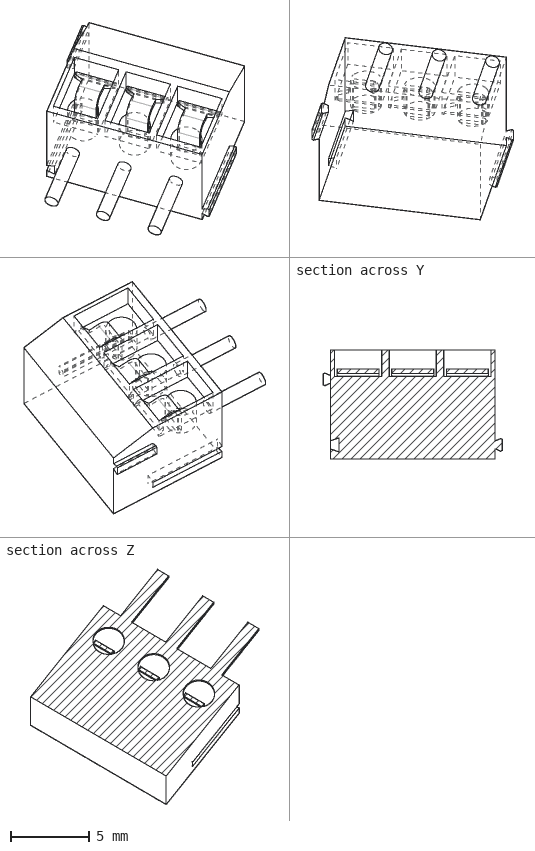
import cadquery as cq
import math

body_width = 10.55
body_depth = 8.3
body_height = 7.0
slope_run = 3.0
slope_drop = 1.02
ridge_y = body_depth - slope_run

terminal_pitch = 3.5
terminal_count = 3
pin_diameter = 0.9
pin_length = 4.2
pin_z = 3.4

pocket_width = 3.0
pocket_front_y = 0.51
pocket_back_y = 4.64
pocket_floor_z = 5.3
screw_hole_diameter = 2.0
screw_hole_y = 2.0
screw_hole_bottom_z = pin_z

clip_wide_width = 2.7
clip_narrow_width = 1.48
clip_wide_end_y = 4.25
clip_narrow_start_y = 3.98
clip_tilt = math.radians(10)
clip_thickness = 0.3
clip_back_radius = 0.42
clip_bend_radius = 0.76
clip_bend_z = 5.21
clip_tip_y = 2.41

rail_projection = 0.48
rail_root_height = 0.51
rail_widest_height = 0.82
rail_edge_height = 0.7
rail_bevel = 0.11
lower_rail_z = 0.91
upper_rail_z = 5.11
groove_depth = 0.54
groove_mouth_height = 0.51
groove_floor_height = 0.88


def make_housing():
    return (
        cq.Workplane("YZ")
        .moveTo(0, 0)
        .lineTo(body_depth, 0)
        .lineTo(body_depth, body_height - slope_drop)
        .lineTo(ridge_y, body_height)
        .lineTo(0, body_height)
        .close()
        .extrude(body_width / 2, both=True)
    )


def extrude_along_y(outline, start_y, end_y):
    """Extrude a closed XZ outline between two Y positions."""
    plane = cq.Workplane("XZ", origin=(0, end_y, 0))
    return plane.polyline(outline).close().extrude(end_y - start_y)


def make_rail(side, center_z, start_y, end_y):
    """Dovetail rail on the wall at +X (side = 1) or -X (side = -1)."""
    wall_x = side * body_width / 2
    widest_x = wall_x + side * (rail_projection - rail_bevel)
    edge_x = wall_x + side * rail_projection
    outline = [
        (wall_x, center_z - rail_root_height / 2),
        (widest_x, center_z - rail_widest_height / 2),
        (edge_x, center_z - rail_edge_height / 2),
        (edge_x, center_z + rail_edge_height / 2),
        (widest_x, center_z + rail_widest_height / 2),
        (wall_x, center_z + rail_root_height / 2),
    ]
    return extrude_along_y(outline, start_y, end_y)


def make_groove():
    """Dovetail groove in the -X wall, open at the pin face."""
    mouth_x = -body_width / 2
    floor_x = mouth_x + groove_depth
    outline = [
        (mouth_x, lower_rail_z - groove_mouth_height / 2),
        (floor_x, lower_rail_z - groove_floor_height / 2),
        (floor_x, lower_rail_z + groove_floor_height / 2),
        (mouth_x, lower_rail_z + groove_mouth_height / 2),
    ]
    return extrude_along_y(outline, 0, ridge_y)


def make_pocket(x):
    """Rectangular pocket with a round screw hole in its floor."""
    pocket = cq.Workplane("XY").box(
        pocket_width,
        pocket_back_y - pocket_front_y,
        body_height - pocket_floor_z,
        centered=(True, False, False),
    ).translate((x, pocket_front_y, pocket_floor_z))
    screw_hole = (
        cq.Workplane("XY", origin=(x, screw_hole_y, screw_hole_bottom_z))
        .circle(screw_hole_diameter / 2)
        .extrude(pocket_floor_z - screw_hole_bottom_z)
    )
    return pocket.union(screw_hole)


def point_on_arc(center, radius, angle):
    """Point on a circle in the YZ plane; angle is measured from up (+Z) towards +Y."""
    return (center[0] + radius * math.sin(angle), center[1] + radius * math.cos(angle))


def make_clip(x):
    """Bent sheet with two legs, trimmed to its T-shaped plan."""
    bend_center = (clip_tip_y + clip_bend_radius, clip_bend_z)
    bend_middle_angle = (clip_tilt - math.pi / 2) / 2

    back_center_y = pocket_back_y - clip_back_radius
    radius_change = (clip_bend_radius - clip_back_radius) / math.cos(clip_tilt)
    fall = (back_center_y - bend_center[0]) * math.tan(clip_tilt)
    back_center = (back_center_y, clip_bend_z + radius_change - fall)
    back_middle_angle = (clip_tilt + math.pi / 2) / 2

    bend_start = point_on_arc(bend_center, clip_bend_radius, clip_tilt)
    bend_inner = clip_bend_radius - clip_thickness
    back_inner = clip_back_radius - clip_thickness
    profile = (
        cq.Workplane("YZ", origin=(x, 0, 0))
        .moveTo(clip_tip_y, screw_hole_bottom_z)
        .lineTo(clip_tip_y, clip_bend_z)
        .threePointArc(point_on_arc(bend_center, clip_bend_radius, bend_middle_angle), bend_start)
        .lineTo(*point_on_arc(back_center, clip_back_radius, clip_tilt))
        .threePointArc(
            point_on_arc(back_center, clip_back_radius, back_middle_angle),
            (pocket_back_y, back_center[1]),
        )
        .lineTo(pocket_back_y, pocket_floor_z)
        .lineTo(pocket_back_y - clip_thickness, pocket_floor_z)
        .lineTo(pocket_back_y - clip_thickness, back_center[1])
        .threePointArc(
            point_on_arc(back_center, back_inner, back_middle_angle),
            point_on_arc(back_center, back_inner, clip_tilt),
        )
        .lineTo(*point_on_arc(bend_center, bend_inner, clip_tilt))
        .threePointArc(
            point_on_arc(bend_center, bend_inner, bend_middle_angle),
            (clip_tip_y + clip_thickness, clip_bend_z),
        )
        .lineTo(clip_tip_y + clip_thickness, screw_hole_bottom_z)
        .close()
        .extrude(clip_wide_width / 2, both=True)
    )
    wide = clip_wide_width / 2
    narrow = clip_narrow_width / 2
    tilted = cq.Plane(
        origin=(x, *bend_start),
        xDir=(1, 0, 0),
        normal=(0, math.sin(clip_tilt), math.cos(clip_tilt)),
    )
    wide_end = clip_wide_end_y - bend_start[0]
    narrow_start = clip_narrow_start_y - bend_start[0]
    plan = (
        cq.Workplane(tilted)
        .polyline([
            (-wide, body_depth),
            (-wide, wide_end),
            (-narrow, narrow_start),
            (-narrow, -body_depth),
            (narrow, -body_depth),
            (narrow, narrow_start),
            (wide, wide_end),
            (wide, body_depth),
        ])
        .close()
        .extrude(body_height, both=True)
    )
    return profile.intersect(plan)


def make_pin(x):
    """Round solder pin standing out of the -Y face."""
    return cq.Workplane("XZ", origin=(x, 0, pin_z)).circle(pin_diameter / 2).extrude(pin_length)


result = make_housing().cut(make_groove())
result = result.union(make_rail(1, lower_rail_z, 0, ridge_y))
result = result.union(make_rail(-1, upper_rail_z, ridge_y, body_depth))

for index in range(terminal_count):
    terminal_x = (index - (terminal_count - 1) / 2) * terminal_pitch
    result = result.cut(make_pocket(terminal_x))
    result = result.union(make_clip(terminal_x))
    result = result.union(make_pin(terminal_x))